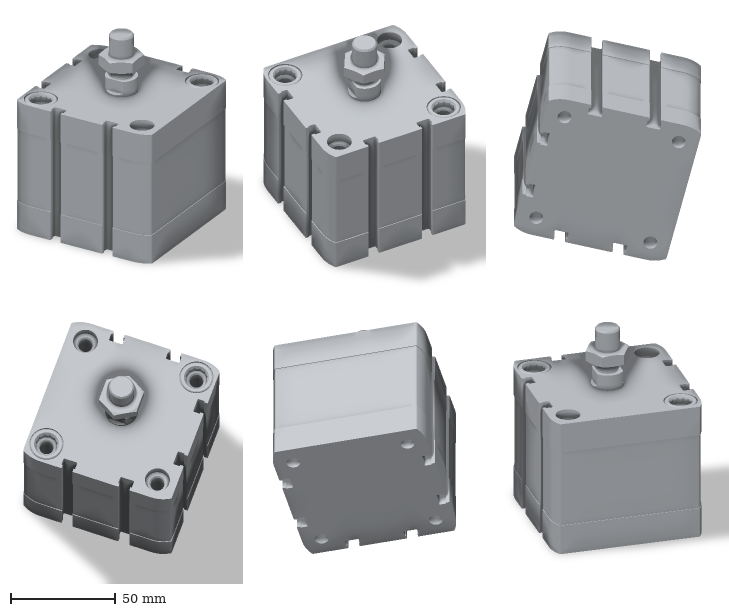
import cadquery as cq
import math

HOUSING_WIDTH = 75.5
HOUSING_HEIGHT = 68.7
CAP_HEIGHT = 15.0
BARREL_INSET = 0.35
CORNER_ARC_START = 28.3
CORNER_ARC_RADIUS = 17.8
CORNER_FILLET = 1.0

SLOT_OFFSET = 14.5
SLOT_MOUTH_WIDTH = 5.5
SLOT_POCKET_WIDTH = 6.9
SLOT_LIP_DEPTH = 1.8
SLOT_DEPTH = 5.2
SLOT_LIP_ROUND = 0.3
SLOT_POCKET_FILLET = 0.5
SLOT_FACE_ANGLES = (0, 90, 180)

HOLE_OFFSET = 28.2
HOLE_DIAMETER = 6.6
HOLE_RIM_DIAMETER = 8.0
COUNTERBORE_DIAMETER = 12.0
COUNTERBORE_DEPTH = 4.7
PLAIN_HOLES = ((-1, 1), (1, -1))
SCREW_HOLES = ((-1, -1), (1, 1))

HEAD_RECESS_DIAMETER = 16.4
HEAD_DIAMETER = 15.5
HEAD_RIM_DIAMETER = 14.8
HEAD_GROOVE_DEPTH = 1.0
SOCKET_DEPTH = 4.2
SOCKET_POINT_DIAMETER = 10.9
SOCKET_POINTS = 12
SOCKET_BORE_DIAMETER = 10.2
COUNTERSINK_DIAMETER = 12.0
COUNTERSINK_HEIGHT = 1.5

TOTAL_HEIGHT = 99.0
ROD_DIAMETER = 15.9
ROD_SHOULDER_Z = 76.7
NECK_BASE_DIAMETER = 10.7
NECK_DIAMETER = 10.2
NECK_BOTTOM_Z = 77.4
NECK_TOP_Z = 78.4
THREAD_DIAMETER = 12.0
THREAD_BOTTOM_Z = 80.9
TIP_DIAMETER = 10.7
TIP_CHAMFER_HEIGHT = 1.0
FLAT_WIDTH = 13.0
FLAT_BOTTOM_Z = 70.4
FLAT_RUNOUT_HEIGHT = 0.9

NUT_ACROSS_FLATS = 19.0
NUT_BOTTOM_Z = 81.9
NUT_HEIGHT = 6.0
NUT_CORNER_DROP = 0.5


def housing_outline(inset):
    """Square outline, offset inwards, whose flat +Y and -Y sides run into corner arcs."""
    half = HOUSING_WIDTH / 2 - inset
    radius = CORNER_ARC_RADIUS - inset
    centre_y = half - radius

    def arc_point(x):
        return x, centre_y + math.sqrt(radius**2 - (x - CORNER_ARC_START) ** 2)

    start = CORNER_ARC_START
    mid = arc_point((start + half) / 2)
    end = arc_point(half)
    return (
        cq.Workplane("XY")
        .moveTo(-start, half)
        .lineTo(start, half)
        .threePointArc(mid, end)
        .lineTo(half, -end[1])
        .threePointArc((mid[0], -mid[1]), (start, -half))
        .lineTo(-start, -half)
        .threePointArc((-mid[0], -mid[1]), (-half, -end[1]))
        .lineTo(-half, end[1])
        .threePointArc((-mid[0], mid[1]), (-start, half))
        .close()
    )


def slot_cutter(face, height):
    """T-slot entering the +Y face, centred on X = 0, with a rounded mouth."""
    mouth = SLOT_MOUTH_WIDTH / 2
    pocket = SLOT_POCKET_WIDTH / 2
    lip = HOUSING_WIDTH / 2 - SLOT_LIP_DEPTH
    floor = HOUSING_WIDTH / 2 - SLOT_DEPTH
    flare = mouth + SLOT_LIP_ROUND
    beyond = HOUSING_WIDTH / 2 + 1
    pocket_cutter = (
        cq.Workplane("XY")
        .rect(2 * pocket, lip - floor)
        .extrude(height)
        .translate((0, (lip + floor) / 2, 0))
        .edges("|Z and <Y")
        .fillet(SLOT_POCKET_FILLET)
    )
    mouth_cutter = (
        cq.Workplane("XY")
        .moveTo(-mouth, floor)
        .lineTo(mouth, floor)
        .lineTo(mouth, face - SLOT_LIP_ROUND)
        .radiusArc((flare, face), SLOT_LIP_ROUND)
        .lineTo(flare, beyond)
        .lineTo(-flare, beyond)
        .lineTo(-flare, face)
        .radiusArc((-mouth, face - SLOT_LIP_ROUND), SLOT_LIP_ROUND)
        .close()
        .extrude(height)
    )
    return pocket_cutter.union(mouth_cutter)


def housing_section(inset, bottom_z, height):
    """One length of the slotted housing profile."""
    face = HOUSING_WIDTH / 2 - inset
    section = housing_outline(inset).extrude(height)
    section = section.edges("|Z and (<X or >X)").fillet(CORNER_FILLET)
    cutter = slot_cutter(face, height)
    for angle in SLOT_FACE_ANGLES:
        for side in (-1, 1):
            slot = cutter.translate((side * SLOT_OFFSET, 0, 0))
            section = section.cut(slot.rotate((0, 0, 0), (0, 0, 1), angle))
    return section.translate((0, 0, bottom_z))


def revolved(points):
    """Solid of revolution about Z from (radius, z) points."""
    return cq.Workplane("XZ").polyline(points).close().revolve(360, (0, 0, 0), (0, 1, 0))


def through_hole(seat_depth):
    """Through hole with a 45 degree chamfer at a seat this far below the housing top."""
    radius = HOLE_DIAMETER / 2
    rim = HOLE_RIM_DIAMETER / 2
    seat_z = HOUSING_HEIGHT - seat_depth
    return revolved([(0, 0), (radius, 0), (radius, seat_z - (rim - radius)), (rim, seat_z), (0, seat_z)])


def counterbore():
    """Cylindrical pocket from the housing top down to the seat."""
    seat = cq.Workplane("XY").workplane(offset=HOUSING_HEIGHT - COUNTERBORE_DEPTH)
    return seat.circle(COUNTERBORE_DIAMETER / 2).extrude(COUNTERBORE_DEPTH)


def head_groove():
    """Narrow ring around a screw head; its inner wall widens over the head's chamfer."""
    recess = HEAD_RECESS_DIAMETER / 2
    head = HEAD_DIAMETER / 2
    rim = HEAD_RIM_DIAMETER / 2
    top = HOUSING_HEIGHT
    bottom = top - HEAD_GROOVE_DEPTH
    return revolved([(head, bottom), (recess, bottom), (recess, top), (rim, top), (head, top - (head - rim))])


def star_socket():
    """Twelve-point socket made of two crossed hexagons and a bore, with a countersink."""
    floor = cq.Workplane("XY").workplane(offset=HOUSING_HEIGHT - SOCKET_DEPTH)
    bore = floor.circle(SOCKET_BORE_DIAMETER / 2).extrude(SOCKET_DEPTH)
    hexagon = floor.polygon(SOCKET_POINTS // 2, SOCKET_POINT_DIAMETER).extrude(SOCKET_DEPTH)
    star = hexagon.union(hexagon.rotate((0, 0, 0), (0, 0, 1), 360 / SOCKET_POINTS))
    wide = COUNTERSINK_DIAMETER / 2
    narrow = SOCKET_BORE_DIAMETER / 2
    top = HOUSING_HEIGHT
    bottom = top - COUNTERSINK_HEIGHT
    countersink = revolved([(0, bottom), (narrow, bottom), (wide, top), (0, top)])
    return star.union(bore).union(countersink)


def make_housing():
    barrel_height = HOUSING_HEIGHT - 2 * CAP_HEIGHT
    body = housing_section(0, 0, CAP_HEIGHT)
    body = body.union(housing_section(BARREL_INSET, CAP_HEIGHT, barrel_height))
    body = body.union(housing_section(0, CAP_HEIGHT + barrel_height, CAP_HEIGHT))
    plain_cutters = [through_hole(COUNTERBORE_DEPTH), counterbore()]
    screw_cutters = [through_hole(SOCKET_DEPTH), star_socket(), head_groove()]
    for corners, cutters in ((PLAIN_HOLES, plain_cutters), (SCREW_HOLES, screw_cutters)):
        for x_side, y_side in corners:
            for cutter in cutters:
                body = body.cut(cutter.translate((x_side * HOLE_OFFSET, y_side * HOLE_OFFSET, 0)))
    return body


def flat_cutter():
    """Cuts the +Y wrench flat of the rod, which runs out down a slope."""
    flat = FLAT_WIDTH / 2
    outside = ROD_DIAMETER / 2
    runout_z = FLAT_BOTTOM_Z - FLAT_RUNOUT_HEIGHT
    points = [(flat, ROD_SHOULDER_Z), (flat, FLAT_BOTTOM_Z), (outside, runout_z), (outside, ROD_SHOULDER_Z)]
    return cq.Workplane("YZ").polyline(points).close().extrude(ROD_DIAMETER / 2, both=True)


def make_rod():
    """Rod standing on the housing top, with wrench flats, a neck and a threaded end."""
    rod = revolved([
        (0, HOUSING_HEIGHT),
        (ROD_DIAMETER / 2, HOUSING_HEIGHT),
        (ROD_DIAMETER / 2, ROD_SHOULDER_Z),
        (NECK_BASE_DIAMETER / 2, ROD_SHOULDER_Z),
        (NECK_DIAMETER / 2, NECK_BOTTOM_Z),
        (NECK_DIAMETER / 2, NECK_TOP_Z),
        (THREAD_DIAMETER / 2, THREAD_BOTTOM_Z),
        (THREAD_DIAMETER / 2, TOTAL_HEIGHT - TIP_CHAMFER_HEIGHT),
        (TIP_DIAMETER / 2, TOTAL_HEIGHT),
        (0, TOTAL_HEIGHT),
    ])
    flat = flat_cutter()
    return rod.cut(flat).cut(flat.mirror("XZ"))


def make_nut():
    """Hexagon nut with corners on the Y axis, chamfered on both sides."""
    flat_radius = NUT_ACROSS_FLATS / 2
    corner_radius = flat_radius / math.cos(math.pi / 6)
    top = NUT_BOTTOM_Z + NUT_HEIGHT
    hexagon = (
        cq.Workplane("XY")
        .workplane(offset=NUT_BOTTOM_Z)
        .polygon(6, 2 * corner_radius)
        .extrude(NUT_HEIGHT)
        .rotate((0, 0, 0), (0, 0, 1), 90)
    )
    chamfers = revolved([
        (0, NUT_BOTTOM_Z),
        (flat_radius, NUT_BOTTOM_Z),
        (corner_radius, NUT_BOTTOM_Z + NUT_CORNER_DROP),
        (corner_radius, top - NUT_CORNER_DROP),
        (flat_radius, top),
        (0, top),
    ])
    bore = cq.Workplane("XY").workplane(offset=NUT_BOTTOM_Z).circle(THREAD_DIAMETER / 2).extrude(NUT_HEIGHT)
    return hexagon.intersect(chamfers).cut(bore)


housing = make_housing()
rod = make_rod()
nut = make_nut()

result = cq.Compound.makeCompound([housing.val(), rod.val(), nut.val()])